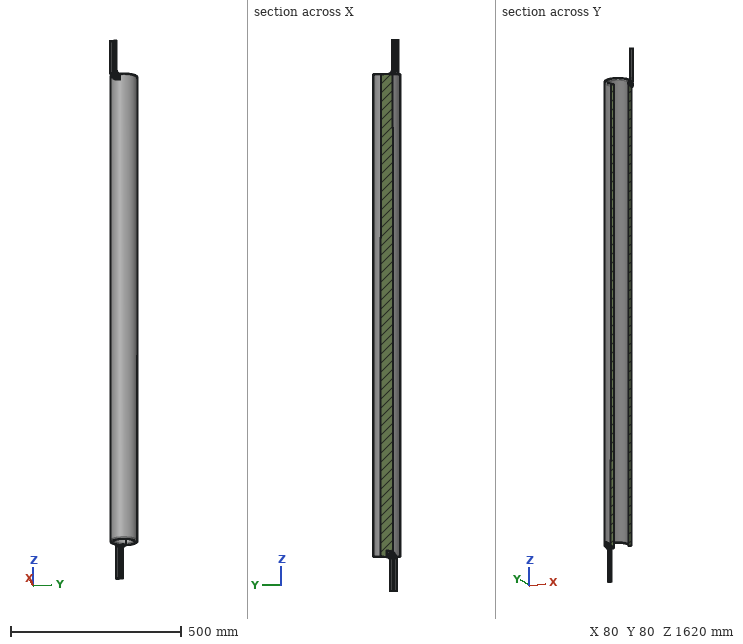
import cadquery as cq

TUBE_OUTER_RADIUS = 80 / 2
TUBE_BORE_RADIUS = 60 / 2
TUBE_LENGTH = 1420
WALL = TUBE_OUTER_RADIUS - TUBE_BORE_RADIUS

OVERALL_LENGTH = 1620
PIPE_RADIUS = WALL / 2
PIPE_BORE_RADIUS = 7 / 2
PIPE_SPACING = 2 * PIPE_RADIUS
PIPE_X = TUBE_OUTER_RADIUS - PIPE_RADIUS
LEAD_LENGTH = 90
INNER_BEND_RADIUS = 15
UPPER_INNER_PIPE_Y = -20
LOWER_INNER_PIPE_Y = -15

UP = 1
DOWN = -1


def main_tube():
    """Tube revolved about Z from a wall section with half-round ends."""
    end_z = TUBE_LENGTH / 2
    shoulder_z = end_z - WALL / 2
    wall_centre = TUBE_OUTER_RADIUS - WALL / 2
    return (
        cq.Workplane("XZ")
        .moveTo(TUBE_OUTER_RADIUS, -shoulder_z)
        .lineTo(TUBE_OUTER_RADIUS, shoulder_z)
        .threePointArc((wall_centre, end_z), (TUBE_BORE_RADIUS, shoulder_z))
        .lineTo(TUBE_BORE_RADIUS, -shoulder_z)
        .threePointArc((wall_centre, -end_z), (TUBE_OUTER_RADIUS, -shoulder_z))
        .close()
        .revolve(360, (0, 0, 0), (0, 1, 0))
    )


def pipe_rod(end, pipe_y, bend_radius, radius):
    """Vertical lead, then a quarter bend toward +Y that ends inside the tube wall."""
    pipe_x = end * PIPE_X
    tip_z = end * OVERALL_LENGTH / 2
    bend_z = end * (OVERALL_LENGTH / 2 - LEAD_LENGTH)
    bend_end = (pipe_y + bend_radius, bend_z - end * bend_radius)
    path = (
        cq.Workplane("YZ", origin=(pipe_x, 0, 0))
        .moveTo(pipe_y, tip_z)
        .lineTo(pipe_y, bend_z)
        .tangentArcPoint(bend_end, relative=False)
    )
    profile = cq.Workplane("XY", origin=(pipe_x, pipe_y, tip_z)).circle(radius)
    return profile.sweep(path)


def pipe_pair(end, inner_pipe_y, radius):
    outer_pipe_y = inner_pipe_y - PIPE_SPACING
    inner = pipe_rod(end, inner_pipe_y, INNER_BEND_RADIUS, radius)
    outer = pipe_rod(end, outer_pipe_y, INNER_BEND_RADIUS + PIPE_SPACING, radius)
    return inner.union(outer)


def pipes_at_both_ends(radius):
    upper = pipe_pair(UP, UPPER_INNER_PIPE_Y, radius)
    lower = pipe_pair(DOWN, LOWER_INNER_PIPE_Y, radius)
    return upper.union(lower)


result = (
    main_tube()
    .union(pipes_at_both_ends(PIPE_RADIUS))
    .cut(pipes_at_both_ends(PIPE_BORE_RADIUS))
)